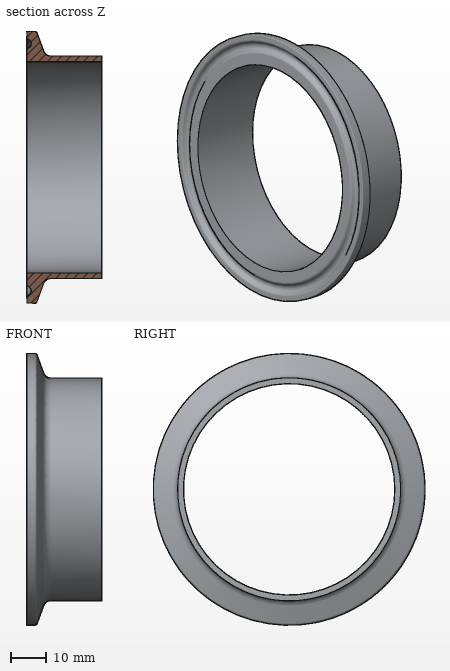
import cadquery as cq
import math

length = 21.5
flange_radius = 38.75
tube_radius = 31.8
bore_radius = 30.1

rim_width = 2.9
taper_angle = math.radians(20)
rim_front_fillet = 0.19
rim_back_fillet = 0.8
neck_fillet = 2.0

groove_center_radius = 35.3
groove_bottom_radius = 1.3
groove_lip_radius = 0.9
groove_wall_length = 0.3
groove_wall_angle = math.radians(57)

groove_arc_radii = groove_bottom_radius + groove_lip_radius
groove_lip_center_x = groove_lip_radius
groove_center_x = (
    groove_lip_center_x
    - groove_arc_radii * math.cos(groove_wall_angle)
    + groove_wall_length * math.sin(groove_wall_angle)
)
neck_x = rim_width + (flange_radius - tube_radius) * math.tan(taper_angle)


def revolve_about_x(profile):
    return profile.close().revolve(360, (0, 0, 0), (1, 0, 0))


def circle_at(x, radius):
    """Select the circular edge that passes through the given profile corner."""
    tolerance = 0.01
    return cq.selectors.BoxSelector(
        (x - tolerance, -radius - tolerance, -radius - tolerance),
        (x + tolerance, radius + tolerance, radius + tolerance),
        boundingbox=True,
    )


def make_body():
    profile = cq.Workplane("XY").polyline([
        (0, bore_radius),
        (0, flange_radius),
        (rim_width, flange_radius),
        (neck_x, tube_radius),
        (length, tube_radius),
        (length, bore_radius),
    ])
    body = revolve_about_x(profile)
    body = body.edges(circle_at(rim_width, flange_radius)).fillet(rim_back_fillet)
    return body.edges(circle_at(neck_x, tube_radius)).fillet(neck_fillet)


def round_front_rim(body):
    rim_edge = body.faces("<X").edges(cq.selectors.RadiusNthSelector(-1))
    return rim_edge.fillet(rim_front_fillet)


def make_groove():
    lip_offset = (
        groove_arc_radii * math.sin(groove_wall_angle)
        + groove_wall_length * math.cos(groove_wall_angle)
    )

    def lip_point(side, angle):
        x = groove_lip_center_x - groove_lip_radius * math.cos(angle)
        r = groove_center_radius + side * (lip_offset - groove_lip_radius * math.sin(angle))
        return (x, r)

    def wall_foot(side):
        x = groove_center_x + groove_bottom_radius * math.cos(groove_wall_angle)
        r = groove_center_radius + side * groove_bottom_radius * math.sin(groove_wall_angle)
        return (x, r)

    bottom = (groove_center_x + groove_bottom_radius, groove_center_radius)
    half_angle = groove_wall_angle / 2
    profile = (
        cq.Workplane("XY")
        .moveTo(*lip_point(-1, 0))
        .threePointArc(lip_point(-1, half_angle), lip_point(-1, groove_wall_angle))
        .lineTo(*wall_foot(-1))
        .threePointArc(bottom, wall_foot(1))
        .lineTo(*lip_point(1, groove_wall_angle))
        .threePointArc(lip_point(1, half_angle), lip_point(1, 0))
    )
    return revolve_about_x(profile)


result = round_front_rim(make_body()).cut(make_groove())